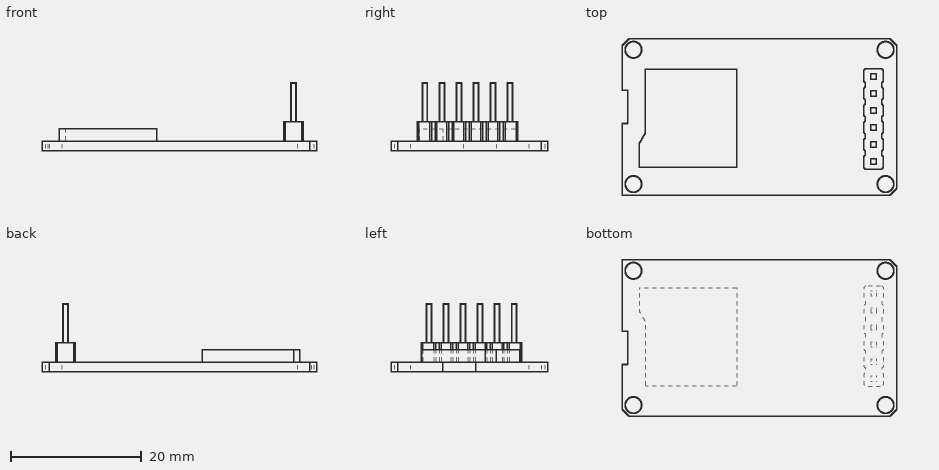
import cadquery as cq

board_length = 42.0
board_width = 24.0
board_thickness = 1.5
corner_cut = 1.05
hole_diameter = 2.48
hole_inset = 1.72

edge_notch_depth = 0.85
edge_notch_start = 11.0
edge_notch_length = 5.05

socket_left = 2.6
socket_right = 17.55
socket_front = 4.33
socket_back = 19.28
socket_height = 1.9
socket_step = 0.95
socket_slant_start = 7.9
socket_slant_end = 9.58

pin_count = 6
pin_pitch = 2.6
pin_width = 0.8
header_x = 38.45
header_y = 11.68
header_width = 3.0
header_height = 3.0
header_end_margin = 1.18
header_end_chamfer = 0.25
groove_depth = 0.25
groove_floor = 0.55
groove_mouth = 1.1
overall_height = 10.4

header_length = (pin_count - 1) * pin_pitch + 2 * header_end_margin


def make_board():
    """Plate with three cut corners, four mounting holes and an edge notch."""
    board = cq.Workplane("XY").box(board_length, board_width, board_thickness, centered=False)
    board = board.edges("|Z and (>X or >Y)").chamfer(corner_cut)
    hole_centers = [
        (x, y)
        for x in (hole_inset, board_length - hole_inset)
        for y in (hole_inset, board_width - hole_inset)
    ]
    holes = cq.Workplane("XY").pushPoints(hole_centers).circle(hole_diameter / 2).extrude(board_thickness)
    edge_notch = (
        cq.Workplane("XY")
        .box(edge_notch_depth, edge_notch_length, board_thickness, centered=False)
        .translate((0, edge_notch_start, 0))
    )
    return board.cut(holes).cut(edge_notch)


def make_socket():
    """Flat block whose left side steps inward along a slanted face."""
    return (
        cq.Workplane("XY", origin=(0, 0, board_thickness))
        .moveTo(socket_left, socket_front)
        .lineTo(socket_right, socket_front)
        .lineTo(socket_right, socket_back)
        .lineTo(socket_left + socket_step, socket_back)
        .lineTo(socket_left + socket_step, socket_slant_end)
        .lineTo(socket_left, socket_slant_start)
        .close()
        .extrude(socket_height)
    )


def make_groove(side, y):
    """Tapered upright groove between two pins; side is -1 for left and +1 for right."""
    outer_x = header_x + side * header_width / 2
    inner_x = outer_x - side * groove_depth
    return (
        cq.Workplane("XY", origin=(0, 0, board_thickness))
        .moveTo(outer_x, y - groove_mouth / 2)
        .lineTo(inner_x, y - groove_floor / 2)
        .lineTo(inner_x, y + groove_floor / 2)
        .lineTo(outer_x, y + groove_mouth / 2)
        .close()
        .extrude(header_height)
    )


def make_header():
    """Grooved header body with a row of square pins standing on it."""
    body = (
        cq.Workplane("XY", origin=(header_x, header_y, board_thickness))
        .rect(header_width, header_length)
        .extrude(header_height)
        .edges("|Z")
        .chamfer(header_end_chamfer)
    )
    first_pin_y = header_y - (pin_count - 1) * pin_pitch / 2
    for gap in range(pin_count - 1):
        groove_y = first_pin_y + (gap + 0.5) * pin_pitch
        for side in (-1, 1):
            body = body.cut(make_groove(side, groove_y))

    header_top = board_thickness + header_height
    pins = (
        cq.Workplane("XY", origin=(header_x, header_y, header_top))
        .rarray(0.4, pin_pitch, 1, pin_count)
        .rect(pin_width, pin_width)
        .extrude(overall_height - header_top)
    )
    return body.union(pins)


result = make_board().union(make_socket()).union(make_header())